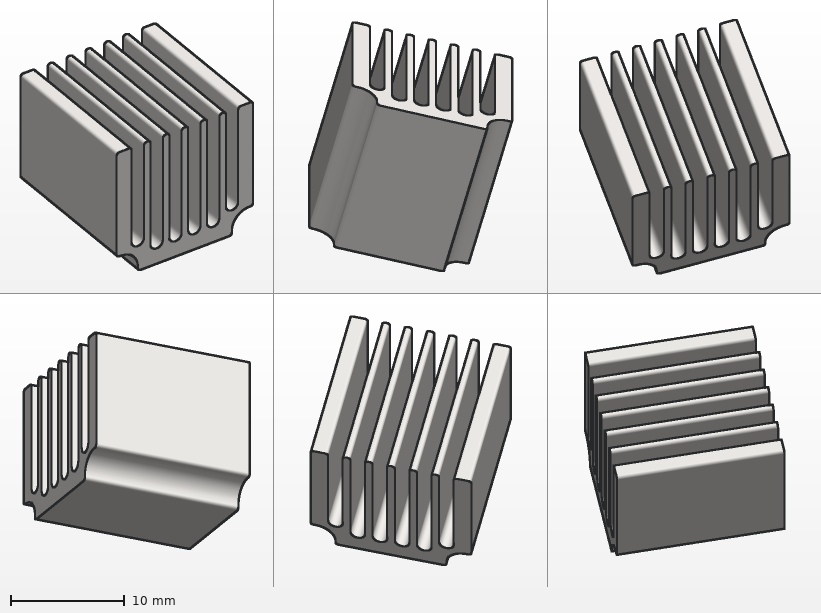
import cadquery as cq

length = 15.0
width = 14.5
height = 13.3

foot_width = 10.0
shoulder_height = 2.3
scoop_radius = 1.8

slot_count = 6
slot_width = 1.3
slot_pitch = foot_width / (slot_count - 1)
slot_radius = slot_width / 2
inner_slot_floor = 1.64
outer_slot_floor = 2.64

corner_radius = 0.3


def extrude_along_length(sketch):
    """Extrude a YZ outline symmetrically about the YZ plane."""
    return sketch.extrude(length / 2, both=True)


def make_body():
    """Solid block standing on a narrower foot."""
    wall = width / 2
    foot = foot_width / 2
    scoop_y = foot + scoop_radius
    scoop_z = shoulder_height - scoop_radius
    outline = (
        cq.Workplane("YZ")
        .moveTo(-foot, 0)
        .lineTo(foot, 0)
        .lineTo(foot, scoop_z)
        .radiusArc((scoop_y, shoulder_height), scoop_radius)
        .lineTo(wall, shoulder_height)
        .lineTo(wall, height)
        .lineTo(-wall, height)
        .lineTo(-wall, shoulder_height)
        .lineTo(-scoop_y, shoulder_height)
        .radiusArc((-foot, scoop_z), scoop_radius)
        .close()
    )
    body = extrude_along_length(outline)
    lower_corners = [(foot, 0), (wall, shoulder_height)]
    for y, z in lower_corners:
        for side in (-1, 1):
            edge = cq.selectors.NearestToPointSelector((0, side * y, z))
            body = body.edges(edge).fillet(corner_radius)
    return body


def make_slot(center_y, floor_z):
    """Full-length cutter, open at the top, with a half-round floor."""
    left = center_y - slot_radius
    right = center_y + slot_radius
    spring_z = floor_z + slot_radius
    outline = (
        cq.Workplane("YZ")
        .moveTo(left, height)
        .lineTo(left, spring_z)
        .threePointArc((center_y, floor_z), (right, spring_z))
        .lineTo(right, height)
        .close()
    )
    return extrude_along_length(outline)


result = make_body()

for index in range(slot_count):
    is_outer = index in (0, slot_count - 1)
    slot_floor = outer_slot_floor if is_outer else inner_slot_floor
    slot_y = index * slot_pitch - foot_width / 2
    result = result.cut(make_slot(slot_y, slot_floor))

result = result.faces(">Z").edges("|X").fillet(corner_radius)